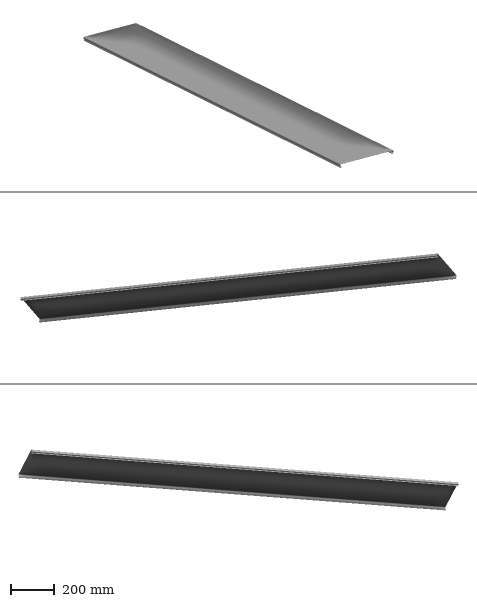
import cadquery as cq
import math

length = 2000.0
width = 302.0
height = 19.2

thickness = 1.0
corner_radius = 5.0
bend_depth = 11.0
waist_depth = 14.5
waist_inset = 5.0
lip_inset = 2.0

half_width = width / 2
inner_radius = corner_radius - thickness
arc_center_y = half_width - corner_radius


def arc_middle(side, radius):
    """Return the midpoint of a top-corner arc on the given side (+1 or -1)."""
    reach = radius * math.sqrt(0.5)
    return (side * (arc_center_y + reach), reach - corner_radius)


def flange_points(side, sheet_offset):
    """Return one face of a side flange, from below its corner arc to the lip's end."""
    edge = half_width - sheet_offset
    return [
        (side * edge, -corner_radius),
        (side * edge, -bend_depth),
        (side * (edge - waist_inset), -waist_depth),
        (side * (edge - lip_inset), -height),
    ]


outer_right = flange_points(1, 0)
outer_left = flange_points(-1, 0)
inner_right = flange_points(1, thickness)
inner_left = flange_points(-1, thickness)

section = (
    cq.Workplane("YZ", origin=(-length / 2, 0, 0))
    .polyline(outer_left[::-1])
    .threePointArc(arc_middle(-1, corner_radius), (-arc_center_y, 0))
    .lineTo(arc_center_y, 0)
    .threePointArc(arc_middle(1, corner_radius), outer_right[0])
    .polyline(outer_right[1:] + inner_right[::-1], includeCurrent=True)
    .threePointArc(arc_middle(1, inner_radius), (arc_center_y, -thickness))
    .lineTo(-arc_center_y, -thickness)
    .threePointArc(arc_middle(-1, inner_radius), inner_left[0])
    .polyline(inner_left[1:], includeCurrent=True)
    .close()
)

result = section.extrude(length)